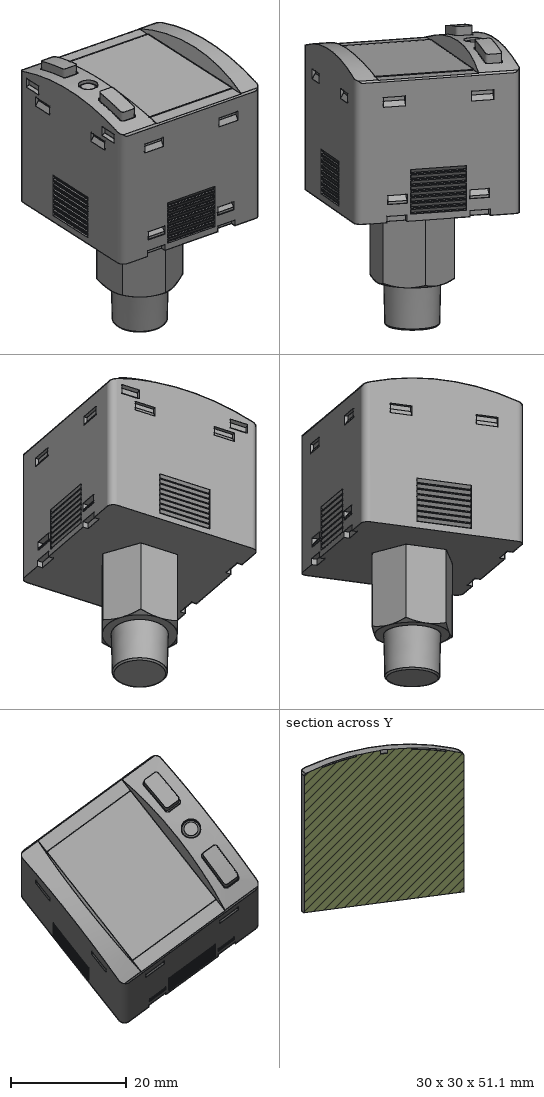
import cadquery as cq
import math

SIDE = 30.0
HALF = SIDE / 2
TOTAL_HEIGHT = 51.1
BODY_BOTTOM = 22.0
CROWN_TOP = 49.85
CROWN_RADIUS = 46.0
CORNER_RADIUS = 1.3
SHOULDER_HEIGHT = 47.05
SHOULDER_INSET = 0.25

FLOOR = 47.35
BAY_FRONT = -7.3
BAY_BACK = 10.9
BAY_WALL_LEAN = 0.95
PANEL_WIDTH = 24.55
PANEL_RISE = 0.15
PANEL_CORNER = 0.25

CONTROL_Y = -11.15
BUTTON_X = 8.45
BUTTON_LENGTH = 6.75
BUTTON_WIDTH = 2.95
BUTTON_CORNER = 0.5
WELL_GAP_OUTER = 0.15
WELL_GAP_INNER = 0.3
WELL_GAP_SIDE = 0.1
WELL_DEPTH = 0.25
LAMP_HOLE_DIAMETER = 3.35
LAMP_HOLE_DEPTH = 0.65
LAMP_BASE_DIAMETER = 3.15
LAMP_TOP_DIAMETER = 2.45
LAMP_TOP_DEPTH = 0.35

CLIP_DEPTH = 0.6
CLIP_TOP = 44.25
CLIP_RAMP_TOP = 43.45
CLIP_BOTTOM = 42.55
CLIP_WIDTH = 4.05
CLIP_OFFSET = 8.05

SLOT_DEPTH = 0.6
SLOT_TOP = 46.85
SLOT_BOTTOM = 45.1
SLOT_BEVEL = 0.3
SLOT_WIDTH = 3.55
SLOT_OFFSET = 11.0

LATCH_DEPTH = 1.1
LATCH_STEP_DEPTH = 0.15
LATCH_TOP = 26.8
LATCH_RAMP_BOTTOM = 25.65
LATCH_BOTTOM = 25.2
LATCH_WIDTH = 3.55
LATCH_OFFSET = 7.45

NOTCH_DEPTH = 1.0
NOTCH_HEIGHT = 1.1
NOTCH_WIDTH = 3.7
NOTCH_OFFSET = 7.55

LOUVRE_COUNT = 8
LOUVRE_TOP = 31.15
LOUVRE_BOTTOM = 23.2
LOUVRE_HEIGHT = 0.8
LOUVRE_BACK_HEIGHT = 0.2
LOUVRE_DEPTH = 0.4
LOUVRE_WIDTH = 10.1

HEX_FLATS = 13.0
HEX_BOTTOM = 8.0
HEX_CHAMFER_ANGLE = 30.0
STUB_TOP_DIAMETER = 9.9
STUB_END_DIAMETER = 9.55
STUB_CHAMFER = 0.3


def crown_height(x, crown_top):
    """Height at x of the arched surface whose highest point is crown_top."""
    return crown_top - CROWN_RADIUS + math.sqrt(CROWN_RADIUS**2 - x**2)


def arched_block(crown_top, shoulder=None, inset=0.0):
    """Housing-sized block with an arched top; the shoulder bevels run from the sides to the arch."""
    edge = HALF - inset
    edge_height = crown_height(edge, crown_top)
    outline = cq.Workplane("XZ", origin=(0, HALF, 0)).moveTo(-HALF, BODY_BOTTOM)
    if shoulder is not None:
        outline = outline.lineTo(-HALF, shoulder)
    outline = outline.lineTo(-edge, edge_height).threePointArc((0, crown_top), (edge, edge_height))
    if shoulder is not None:
        outline = outline.lineTo(HALF, shoulder)
    return outline.lineTo(HALF, BODY_BOTTOM).close().extrude(SIDE)


def upright_block(length, width, corner, center, bottom, top):
    """Upright block with rounded vertical edges."""
    return (
        cq.Workplane("XY", origin=(center[0], center[1], bottom))
        .rect(length, width)
        .extrude(top - bottom)
        .edges("|Z")
        .fillet(corner)
    )


def housing():
    rounded = upright_block(SIDE, SIDE, CORNER_RADIUS, (0, 0), BODY_BOTTOM, TOTAL_HEIGHT)
    return rounded.intersect(arched_block(CROWN_TOP, SHOULDER_HEIGHT, SHOULDER_INSET))


def display_bay():
    """Space with leaning end walls that is cleared above the display floor."""
    lean = BAY_WALL_LEAN * (TOTAL_HEIGHT - FLOOR) / (CROWN_TOP - FLOOR)
    return (
        cq.Workplane("YZ", origin=(-HALF, 0, 0))
        .polyline([
            (BAY_FRONT, FLOOR),
            (BAY_BACK, FLOOR),
            (BAY_BACK + lean, TOTAL_HEIGHT),
            (BAY_FRONT - lean, TOTAL_HEIGHT),
        ])
        .close()
        .extrude(SIDE)
    )


def display_panel():
    center = (0, (BAY_FRONT + BAY_BACK) / 2)
    return upright_block(PANEL_WIDTH, BAY_BACK - BAY_FRONT, PANEL_CORNER, center, FLOOR, FLOOR + PANEL_RISE)


def add_button(body, side):
    """Button on the left (side = -1) or right (side = 1), standing in a shallow well."""
    well_length = BUTTON_LENGTH + WELL_GAP_OUTER + WELL_GAP_INNER
    well_width = BUTTON_WIDTH + 2 * WELL_GAP_SIDE
    well_x = side * (BUTTON_X + (WELL_GAP_OUTER - WELL_GAP_INNER) / 2)
    well = upright_block(well_length, well_width, BUTTON_CORNER, (well_x, CONTROL_Y), FLOOR, TOTAL_HEIGHT)
    well = well.cut(arched_block(CROWN_TOP - WELL_DEPTH))

    inner_end = BUTTON_X - BUTTON_LENGTH / 2
    button_rise = TOTAL_HEIGHT - crown_height(inner_end, CROWN_TOP)
    button_crown = CROWN_TOP + button_rise
    center = (side * BUTTON_X, CONTROL_Y)
    button = upright_block(BUTTON_LENGTH, BUTTON_WIDTH, BUTTON_CORNER, center, FLOOR, button_crown)
    button = button.intersect(arched_block(button_crown))
    return body.cut(well).union(button)


def lamp_recess():
    """Round hole around a conical lamp that stays below the crown."""
    hole_floor = CROWN_TOP - LAMP_HOLE_DEPTH
    lamp_top = CROWN_TOP - LAMP_TOP_DEPTH
    return (
        cq.Workplane("XZ", origin=(0, CONTROL_Y, 0))
        .polyline([
            (0, lamp_top),
            (LAMP_TOP_DIAMETER / 2, lamp_top),
            (LAMP_BASE_DIAMETER / 2, hole_floor),
            (LAMP_HOLE_DIAMETER / 2, hole_floor),
            (LAMP_HOLE_DIAMETER / 2, TOTAL_HEIGHT),
            (0, TOTAL_HEIGHT),
        ])
        .close()
        .revolve(360, (0, 0), (0, 1))
    )


def wall_recess(section, width, offset):
    """Recess in the front wall from (depth, height) points, centered at x = offset."""
    points = [(depth - HALF, height) for depth, height in section]
    return cq.Workplane("YZ", origin=(offset - width / 2, 0, 0)).polyline(points).close().extrude(width)


def recess_pair(section, width, offset):
    return wall_recess(section, width, -offset).union(wall_recess(section, width, offset))


def clip_windows():
    """Flat-backed windows whose lower part ramps out to the wall."""
    section = [(0, CLIP_BOTTOM), (CLIP_DEPTH, CLIP_RAMP_TOP), (CLIP_DEPTH, CLIP_TOP), (0, CLIP_TOP)]
    return recess_pair(section, CLIP_WIDTH, CLIP_OFFSET)


def bevelled_slots():
    """Flat-backed slots, beveled above and below."""
    section = [
        (0, SLOT_BOTTOM),
        (SLOT_DEPTH, SLOT_BOTTOM + SLOT_BEVEL),
        (SLOT_DEPTH, SLOT_TOP - SLOT_BEVEL),
        (0, SLOT_TOP),
    ]
    return recess_pair(section, SLOT_WIDTH, SLOT_OFFSET)


def latch_windows():
    """Windows with a shallow upright step below a ramp that runs deeper toward the top."""
    section = [
        (0, LATCH_BOTTOM),
        (LATCH_STEP_DEPTH, LATCH_BOTTOM),
        (LATCH_STEP_DEPTH, LATCH_RAMP_BOTTOM),
        (LATCH_DEPTH, LATCH_TOP),
        (0, LATCH_TOP),
    ]
    return recess_pair(section, LATCH_WIDTH, LATCH_OFFSET)


def bottom_notches():
    top = BODY_BOTTOM + NOTCH_HEIGHT
    section = [(0, BODY_BOTTOM), (NOTCH_DEPTH, BODY_BOTTOM), (NOTCH_DEPTH, top), (0, top)]
    return recess_pair(section, NOTCH_WIDTH, NOTCH_OFFSET)


def louvres():
    """Grooves with a level floor, a low back wall and a slanted roof."""
    pitch = (LOUVRE_TOP - LOUVRE_BOTTOM - LOUVRE_HEIGHT) / (LOUVRE_COUNT - 1)
    grooves = cq.Workplane("XY")
    for row in range(LOUVRE_COUNT):
        top = LOUVRE_TOP - row * pitch
        floor = top - LOUVRE_HEIGHT
        section = [
            (0, floor),
            (LOUVRE_DEPTH, floor),
            (LOUVRE_DEPTH, floor + LOUVRE_BACK_HEIGHT),
            (0, top),
        ]
        grooves.add(wall_recess(section, LOUVRE_WIDTH, 0))
    return grooves.combine()


def cut_walls(body):
    shared = [clip_windows(), louvres()]
    front_only = [bevelled_slots()]
    sides_only = [latch_windows(), bottom_notches()]
    recesses_by_angle = {
        0: shared + front_only,
        90: shared + sides_only,
        180: shared,
        270: shared + sides_only,
    }
    for angle, recesses in recesses_by_angle.items():
        for recess in recesses:
            body = body.cut(recess.rotate((0, 0, 0), (0, 0, 1), angle))
    return body


def hexagon():
    """Hexagon with corners on the X axis, chamfered to a circle at its lower face."""
    across_corners = HEX_FLATS / math.cos(math.pi / 6)
    prism = (
        cq.Workplane("XY", origin=(0, 0, HEX_BOTTOM))
        .polygon(6, across_corners)
        .extrude(BODY_BOTTOM - HEX_BOTTOM)
    )
    inner = HEX_FLATS / 2
    outer = across_corners / 2
    rise = (outer - inner) * math.tan(math.radians(HEX_CHAMFER_ANGLE))
    envelope = (
        cq.Workplane("XZ")
        .polyline([
            (0, HEX_BOTTOM),
            (inner, HEX_BOTTOM),
            (outer, HEX_BOTTOM + rise),
            (outer, BODY_BOTTOM),
            (0, BODY_BOTTOM),
        ])
        .close()
        .revolve(360, (0, 0), (0, 1))
    )
    return prism.intersect(envelope)


def stub():
    """Tapered round stub with a chamfered end."""
    end_radius = STUB_END_DIAMETER / 2
    return (
        cq.Workplane("XZ")
        .polyline([
            (0, 0),
            (end_radius - STUB_CHAMFER, 0),
            (end_radius, STUB_CHAMFER),
            (STUB_TOP_DIAMETER / 2, HEX_BOTTOM),
            (0, HEX_BOTTOM),
        ])
        .close()
        .revolve(360, (0, 0), (0, 1))
    )


body = housing().cut(display_bay()).union(display_panel())
body = body.cut(lamp_recess())
for side in (-1, 1):
    body = add_button(body, side)
body = cut_walls(body)

result = body.union(hexagon()).union(stub())